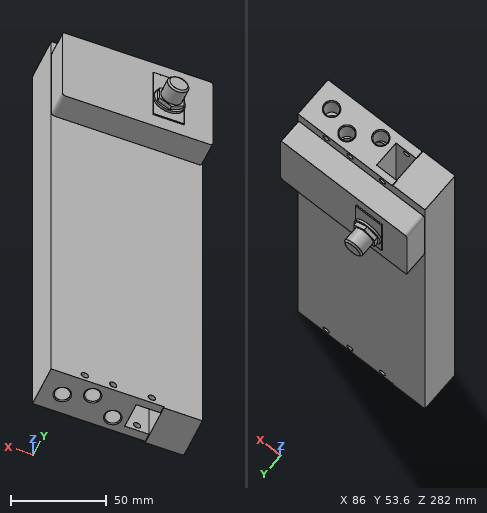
import cadquery as cq

bar_width = 86.0
bar_depth = 25.0
bar_length = 282.0
block_width = 22.0
end_step = 1.0
short_length = bar_length - 2 * end_step

front_edge_step_depth = 0.6
front_edge_step_inset = 0.2

channel_width = 13.8
channel_front = 5.2
channel_depth = 15.4
channel_recess_rise = 0.6
channel_recess_length = 12.0

port_positions = [(43.8, 8.0), (59.1, 17.2), (74.0, 11.7)]
bore_positions = [(44.8, 8.2), (59.1, 17.2), (73.2, 12.2)]
port_diameter = 8.4
port_depth = 15.0
port_mouth_chamfer = 0.6
bore_diameter = 6.4

cross_hole_positions = [28.8, 50.8, 66.8]
cross_hole_diameter = 4.0
cross_hole_from_end = 5.3

housing_depth = 14.5
housing_height = 53.8
housing_side_inset = 0.2
housing_from_top = 10.2
housing_corner = 2.0
housing_back = bar_depth + housing_depth
housing_center_z = bar_length / 2 - housing_from_top - housing_height / 2

overall_depth = 53.6
plate_width = 17.6
plate_height = 35.2
plate_thickness = 0.7
connector_x = 25.6
connector_drop = 3.4
connector_z = housing_center_z - connector_drop
flange_diameter = 17.6
flange_thickness = 2.0
nut_across_corners = 16.2
nut_thickness = 2.4
barrel_diameter = 12.2
barrel_chamfer = 1.0


def box_between(x, y, z):
    """Box spanning the (low, high) pairs given for each axis."""
    size = [high - low for low, high in (x, y, z)]
    return cq.Workplane("XY").box(*size, centered=False).translate((x[0], y[0], z[0]))


def plane_facing_back(x, y, z):
    """Workplane whose normal points toward +Y and whose local Y axis is Z."""
    return cq.Workplane(cq.Plane(origin=(x, y, z), xDir=(-1, 0, 0), normal=(0, 1, 0)))


def make_bar():
    half = bar_length / 2
    half_short = short_length / 2
    block = box_between((0, block_width), (0, bar_depth), (-half, half))
    section = box_between((block_width, bar_width), (0, bar_depth), (-half_short, half_short))
    bar = block.union(section)
    step = box_between((0, front_edge_step_inset), (0, front_edge_step_depth), (-half, half))
    return bar.cut(step)


def make_channel():
    x = (block_width, block_width + channel_width)
    back = channel_front + channel_depth
    half_short = short_length / 2
    channel = box_between(x, (channel_front, back), (-half_short, half_short))
    recess = box_between(
        x, (channel_front, back + channel_recess_rise), (half_short - channel_recess_length, half_short)
    )
    return channel.union(recess)


def make_passages():
    bottom = cq.Workplane("XY").workplane(offset=-short_length / 2)
    mouth_diameter = port_diameter + 2 * port_mouth_chamfer
    bores = bottom.pushPoints(bore_positions).circle(bore_diameter / 2).extrude(short_length)
    ports = bottom.pushPoints(port_positions).circle(port_diameter / 2).extrude(port_depth)
    mouths = bottom.pushPoints(port_positions).circle(mouth_diameter / 2).extrude(port_mouth_chamfer, taper=45)
    bottom_ports = ports.union(mouths)
    top_ports = bottom_ports.mirror("XY")
    return bores.union(bottom_ports).union(top_ports)


def make_cross_holes():
    z = bar_length / 2 - cross_hole_from_end
    points = [(-x, side * z) for x in cross_hole_positions for side in (-1, 1)]
    return plane_facing_back(0, 0, 0).pushPoints(points).circle(cross_hole_diameter / 2).extrude(bar_depth)


def make_housing():
    housing = box_between(
        (housing_side_inset, bar_width - housing_side_inset),
        (bar_depth, housing_back),
        (housing_center_z - housing_height / 2, housing_center_z + housing_height / 2),
    )
    return housing.edges("|Y").fillet(housing_corner)


def make_connector():
    plate = (
        plane_facing_back(connector_x, housing_back, housing_center_z)
        .rect(plate_width, plate_height)
        .extrude(plate_thickness)
    )
    flange = (
        plane_facing_back(connector_x, housing_back, connector_z)
        .circle(flange_diameter / 2)
        .extrude(flange_thickness)
    )
    nut_start = housing_back + flange_thickness
    nut = (
        plane_facing_back(connector_x, nut_start, connector_z)
        .transformed(rotate=(0, 0, 90))
        .polygon(6, nut_across_corners)
        .extrude(nut_thickness)
    )
    barrel = (
        plane_facing_back(connector_x, housing_back, connector_z)
        .circle(barrel_diameter / 2)
        .extrude(overall_depth - housing_back)
        .faces(">Y")
        .chamfer(barrel_chamfer)
    )
    return plate.union(flange).union(nut).union(barrel)


bar = make_bar().cut(make_channel()).cut(make_passages()).cut(make_cross_holes())
result = bar.union(make_housing()).union(make_connector())